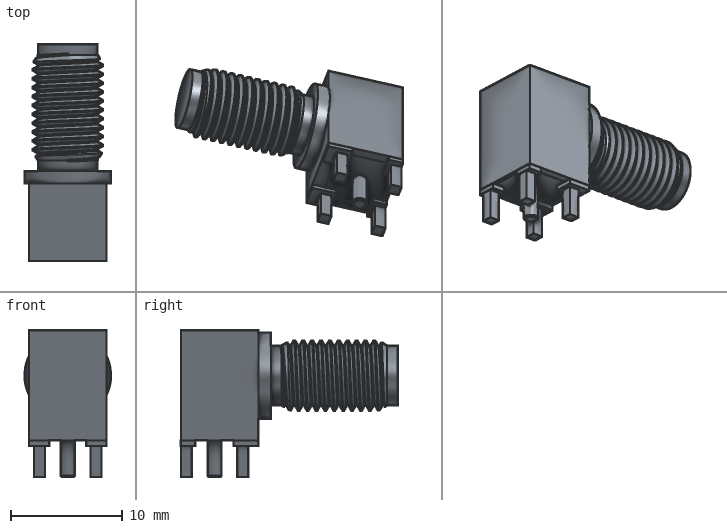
import cadquery as cq
import math


block_width = 7.0
block_front_y = -3.03
block_rear_y = 3.95
block_depth = block_rear_y - block_front_y
block_top = 10.43

foot_height = 0.5
foot_front_y = -3.05
foot_width = 1.84
front_foot_depth = 1.32
rear_foot_depth = 2.25
leg_pitch = 5.08
leg_size = 1.0
leg_length = 2.8
plate_size = 5.4
plate_thickness = 1.0
plate_top = foot_height + plate_thickness

pin_diameter = 1.27
pin_chamfer = 0.13

axis_height = 6.35
barrel_end_y = 16.5
barrel_diameter = 5.4
barrel_radius = barrel_diameter / 2
flange_diameter = 7.8
flange_thickness = 1.12
barrel_length = barrel_end_y - block_rear_y

thread_diameter = 6.35
thread_radius = thread_diameter / 2
thread_pitch = 0.8
thread_turns = 12
thread_plain_end = 0.96
thread_end_angle = 30.0
flank_angle = 30.0
crest_width = thread_pitch / 8
groove_undercut = 0.02
groove_overshoot = 0.03


def box_on(width, depth, height, x_middle, front_y, bottom_z):
    """Box centred on x_middle that starts at front_y and bottom_z."""
    box = cq.Workplane("XY").box(width, depth, height, centered=(True, False, False))
    return box.translate((x_middle, front_y, bottom_z))


def make_plate():
    return box_on(plate_size, plate_size, plate_thickness, 0, -plate_size / 2, foot_height)


def make_block():
    block_height = block_top - foot_height
    block = box_on(block_width, block_depth, block_height, 0, block_front_y, foot_height)
    return block.cut(make_plate())


def make_foot(side, front_y, depth, leg_y):
    """Corner foot and its square leg, on the -X or +X side."""
    foot_x = side * (block_width - foot_width) / 2
    foot = box_on(foot_width, depth, foot_height, foot_x, front_y, 0)
    leg_x = side * leg_pitch / 2
    leg = box_on(leg_size, leg_size, leg_length, leg_x, leg_y - leg_size / 2, -leg_length)
    return foot.union(leg)


def make_base():
    base = make_plate()
    rear_foot_front_y = block_rear_y - rear_foot_depth
    for side in (-1, 1):
        base = base.union(make_foot(side, foot_front_y, front_foot_depth, -leg_pitch / 2))
        base = base.union(make_foot(side, rear_foot_front_y, rear_foot_depth, leg_pitch / 2))
    pin_hole = cq.Workplane("XY").circle(pin_diameter / 2).extrude(plate_top)
    return base.cut(pin_hole)


def make_pin():
    pin = cq.Workplane("XY", origin=(0, 0, -leg_length)).circle(pin_diameter / 2)
    return pin.extrude(leg_length + plate_top).faces("<Z").chamfer(pin_chamfer)


def make_barrel_blank(thread_start, thread_end):
    """Turned blank along local Z, with a full cylinder where the thread will be cut."""
    taper = (thread_radius - barrel_radius) / math.tan(math.radians(thread_end_angle))
    outline = [
        (0, 0),
        (flange_diameter / 2, 0),
        (flange_diameter / 2, flange_thickness),
        (barrel_radius, flange_thickness),
        (barrel_radius, thread_start),
        (thread_radius, thread_start + taper),
        (thread_radius, thread_end - taper),
        (barrel_radius, thread_end),
        (barrel_radius, barrel_length),
        (0, barrel_length),
    ]
    mirrored = [(-radius, height) for radius, height in outline]
    return cq.Workplane("XZ").polyline(mirrored).close().revolve(360, (0, 0, 0), (0, 1, 0))


def make_thread_groove(middle):
    """Right-handed V groove; its upper half is the lower half turned over about the middle."""
    half_height = thread_turns * thread_pitch / 2
    start = middle - half_height
    flank_slope = math.tan(math.radians(flank_angle))
    root_radius = barrel_radius - groove_undercut
    mouth_radius = thread_radius + groove_overshoot
    half_at_crest = (thread_pitch - crest_width) / 2
    half_at_root = half_at_crest - flank_slope * (thread_radius - root_radius)
    half_at_mouth = half_at_crest + flank_slope * groove_overshoot
    profile = [
        (root_radius, start - half_at_root),
        (mouth_radius, start - half_at_mouth),
        (mouth_radius, start + half_at_mouth),
        (root_radius, start + half_at_root),
    ]
    helix = cq.Wire.makeHelix(thread_pitch, half_height, barrel_radius, center=cq.Vector(0, 0, start))
    lower = cq.Workplane("XZ").polyline(profile).close().sweep(cq.Workplane(helix), isFrenet=True)
    upper = lower.rotate((0, 0, middle), (1, 0, middle), 180)
    return lower.union(upper)


def make_barrel():
    thread_start = flange_thickness + thread_plain_end
    thread_end = barrel_length - thread_plain_end
    blank = make_barrel_blank(thread_start, thread_end)
    barrel = blank.cut(make_thread_groove((thread_start + thread_end) / 2))
    seat = cq.Plane(origin=(0, block_rear_y, axis_height), xDir=(0, 0, 1), normal=(0, 1, 0))
    return barrel.val().moved(cq.Location(seat))


block = make_block()
base = make_base()
pin = make_pin()
barrel = cq.Workplane(make_barrel()).solids()

result = cq.Compound.makeCompound([block.val(), base.val(), pin.val(), barrel.val()])